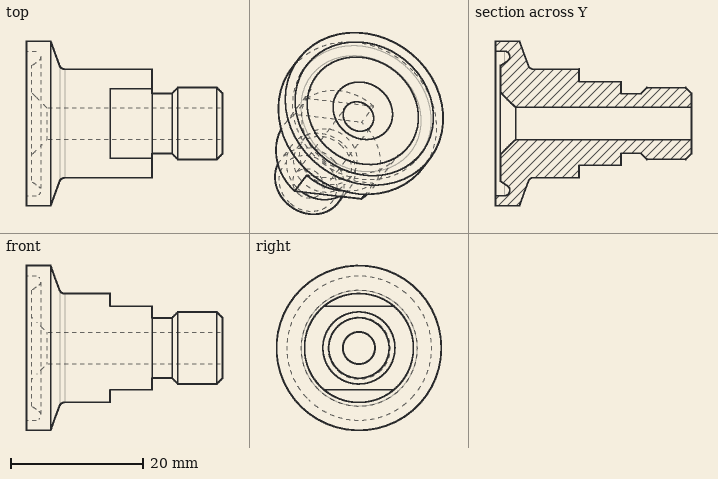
import cadquery as cq
import math

total_length = 29.72

flange_radius = 25.0 / 2
rim_length = 3.68
back_taper = math.radians(20)
back_fillet = 0.8

body_radius = 16.51 / 2
shoulder_x = 19.05
flat_start_x = 12.7
across_flats = 12.7

thread_radius = 10.93 / 2
neck_radius = 9.15 / 2
neck_end_x = 22.07
thread_chamfer = thread_radius - neck_radius

groove_outer_radius = 21.89 / 2
groove_wall_end_x = 1.34
groove_inner_radius = 9.5
groove_inner_x = 1.83
face_radius = 8.8
face_x = 0.77

bore_radius = 4.83 / 2
countersink_radius = 9.42 / 2
countersink_end_x = face_x + countersink_radius - bore_radius


def revolve_about_x(profile):
    """Close an (X, radius) profile and turn it about the X axis."""
    return profile.close().revolve(360, (0, 0, 0), (1, 0, 0))


def make_outside():
    """Flange, body, neck and thread, solid down to the axis."""
    taper_end_x = rim_length + (flange_radius - body_radius) * math.tan(back_taper)

    turn = math.pi / 2 - back_taper
    tangent_length = back_fillet * math.tan(turn / 2)
    centre_x = taper_end_x + tangent_length
    centre_r = body_radius + back_fillet

    def on_fillet(angle):
        """Point on the fillet, with the angle measured from its tangency with the body."""
        return (centre_x - back_fillet * math.sin(angle), centre_r - back_fillet * math.cos(angle))

    profile = (
        cq.Workplane("XY")
        .moveTo(0, 0)
        .lineTo(0, flange_radius)
        .lineTo(rim_length, flange_radius)
        .lineTo(*on_fillet(turn))
        .threePointArc(on_fillet(turn / 2), on_fillet(0))
        .lineTo(shoulder_x, body_radius)
        .lineTo(shoulder_x, neck_radius)
        .lineTo(neck_end_x, neck_radius)
        .lineTo(neck_end_x + thread_chamfer, thread_radius)
        .lineTo(total_length - thread_chamfer, thread_radius)
        .lineTo(total_length, neck_radius)
        .lineTo(total_length, 0)
    )
    return revolve_about_x(profile)


def make_inside():
    """Material removed by the face recess, ring groove, countersink and bore."""
    profile = (
        cq.Workplane("XY")
        .moveTo(0, 0)
        .lineTo(0, groove_outer_radius)
        .lineTo(groove_wall_end_x, groove_outer_radius)
        .tangentArcPoint((groove_inner_x, groove_inner_radius), relative=False)
        .lineTo(face_x, face_radius)
        .lineTo(face_x, countersink_radius)
        .lineTo(countersink_end_x, bore_radius)
        .lineTo(total_length, bore_radius)
        .lineTo(total_length, 0)
    )
    return revolve_about_x(profile)


def make_flat_cut(side):
    """Block beyond one wrench flat; side is +1 for the +Z flat and -1 for the -Z flat."""
    length = shoulder_x - flat_start_x
    height = body_radius
    return cq.Workplane("XY").box(length, 2 * body_radius, height).translate(
        (flat_start_x + length / 2, 0, side * (across_flats + height) / 2)
    )


result = make_outside().cut(make_inside())
for side in (1, -1):
    result = result.cut(make_flat_cut(side))